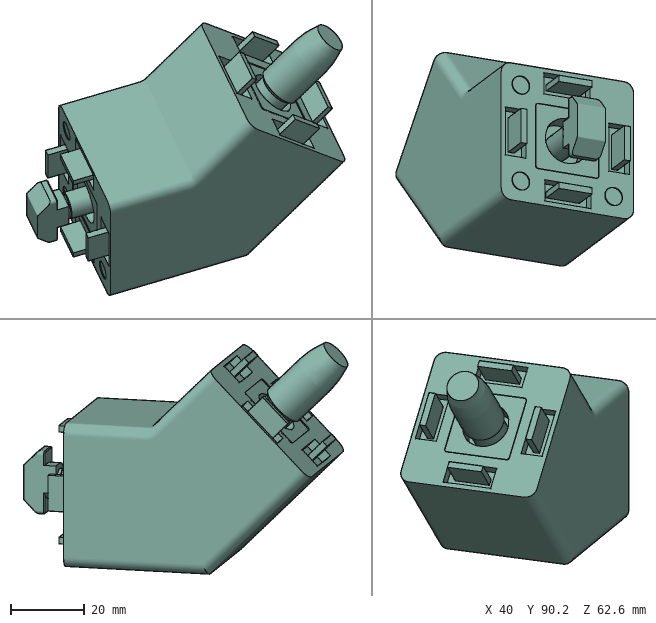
import cadquery as cq
import math

leg_width = 40.0
axis_height = leg_width / 2
bend_angle = 45.0
half_bend = math.radians(bend_angle / 2)
inner_leg_length = 24.0
axis_leg_length = inner_leg_length + leg_width / 2 * math.tan(half_bend)
housing_corner_radius = 3.0
inner_bend_radius = 2.0
mitre_normal = (0, math.cos(half_bend), math.sin(half_bend))
mitre_point = (0, axis_leg_length, axis_height)

core_width = 19.0
core_corner_radius = 0.8
core_inset = 0.3

tab_length = 10.0
tab_thickness = 1.8
tab_height = 5.2
tab_distance = 15.6
pocket_length = 14.0
pocket_width = 6.2
pocket_depth = 3.0
pocket_shift = 0.15

mark_diameter = 5.2
mark_offset = 14.0
mark_depth = 0.3
mark_corners = [(-1, 1), (-1, -1), (1, -1)]

bore_diameter = 13.0
bore_depth = 6.5

shaft_radius = 3.75
shaft_chamfer = 0.25
neck_start = 5.3
block_start = 6.2
head_start = 9.4
head_end = 15.33
neck_radius = shaft_radius - shaft_chamfer
head_width = 8.5
block_round_radius = 5.0
block_height = 2 * block_round_radius
head_height = 17.5
head_corner_radius = 1.0
head_back_chamfer = 0.3
head_nose_fillet = 0.4
head_front_height = 9.6
head_front_chamfer = (head_height - head_front_height) / 2

pin_radius = 6.0
pin_neck_radius = 5.0
pin_shoulder = 2.5
pin_end = 23.41
pin_tip_radius = 4.5
pin_taper = math.radians(15)
pin_blend_radius = 20.0
pin_taper_radius = pin_radius - pin_blend_radius * (1 - math.cos(pin_taper))
pin_taper_start = pin_end - (pin_taper_radius - pin_tip_radius) / math.tan(pin_taper)
pin_blend_start = pin_taper_start - pin_blend_radius * math.sin(pin_taper)


def mirrored(body):
    """Copy of a front leg feature, reflected in the mitre plane onto the rear leg."""
    return body.mirror(mitre_normal, mitre_point)


def front_plane(distance):
    """Plane parallel to the front face, a distance out of it, with +X right and +Z up."""
    return cq.Workplane("XZ", origin=(0, -distance, axis_height))


def bent_bar(width, inset):
    """Sharp-edged square bar following the bent axis, its ends set back from the end faces."""
    half = width / 2
    mitre_run = half * math.tan(half_bend)
    leg = (
        cq.Workplane("YZ", origin=(-half, 0, axis_height))
        .polyline([
            (inset, half),
            (axis_leg_length - mitre_run, half),
            (axis_leg_length + mitre_run, -half),
            (inset, -half),
        ])
        .close()
        .extrude(width)
    )
    return leg.union(mirrored(leg), clean=True)


def round_long_edges(bar, radius):
    """Round the edges that run along the bar, leaving its end faces sharp."""
    return bar.edges("not (|X or |Z or |(0,-1,1))").fillet(radius)


def core_bar(inset):
    return round_long_edges(bent_bar(core_width, inset), core_corner_radius)


def around_axis(shape):
    """Four copies of a front face feature, a quarter turn apart."""
    copies = cq.Workplane()
    for quarter in range(4):
        copies = copies.add(shape.rotate((0, 0, axis_height), (0, 1, axis_height), 90 * quarter))
    return copies


def pockets():
    pocket = (
        front_plane(0)
        .center(-pocket_shift, tab_distance)
        .rect(pocket_length, pocket_width)
        .extrude(-pocket_depth)
    )
    return around_axis(pocket)


def tabs():
    tab = (
        front_plane(-pocket_depth)
        .center(0, tab_distance)
        .rect(tab_length, tab_thickness)
        .extrude(pocket_depth + tab_height)
    )
    return around_axis(tab)


def marks():
    return (
        front_plane(0)
        .pushPoints([(x * mark_offset, z * mark_offset) for x, z in mark_corners])
        .circle(mark_diameter / 2)
        .extrude(-mark_depth)
    )


def make_housing():
    body = bent_bar(leg_width, 0)
    inner_crease = cq.selectors.NearestToPointSelector((0, inner_leg_length, leg_width))
    body = body.edges("|X").edges(inner_crease).fillet(inner_bend_radius)
    body = round_long_edges(body, housing_corner_radius)
    body = body.cut(core_bar(0)).cut(marks())
    for pocket in pockets().vals():
        pocket = cq.Workplane(pocket)
        body = body.cut(pocket).cut(mirrored(pocket))
    for tab in tabs().vals():
        tab = cq.Workplane(tab)
        body = body.union(tab).union(mirrored(tab))
    return body


def bore():
    return front_plane(0).circle(bore_diameter / 2).extrude(-bore_depth)


def shaft():
    """Round shaft from the bore floor to the block, chamfered down to its neck."""
    body = front_plane(-bore_depth).circle(shaft_radius).extrude(bore_depth + neck_start)
    body = body.faces("<Y").chamfer(shaft_chamfer)
    neck = front_plane(0).circle(neck_radius).extrude(block_start)
    return body.union(neck)


def block():
    """Square block with two opposite corners rounded, so the head can only turn one way."""
    length = head_start - block_start + head_back_chamfer
    start = front_plane(block_start)
    body = start.circle(block_round_radius).extrude(length)
    for side in (-1, 1):
        corner = (
            start.center(side * block_round_radius / 2, side * block_round_radius / 2)
            .rect(block_round_radius, block_round_radius)
            .extrude(length)
        )
        body = body.union(corner)
    return body.intersect(start.rect(head_width, block_height).extrude(length))


def head():
    """Cross bar with rounded corners and sloping front."""
    return (
        front_plane(head_start)
        .rect(head_width, head_height)
        .extrude(head_end - head_start)
        .edges("|Y")
        .fillet(head_corner_radius)
        .faces(">Y")
        .chamfer(head_back_chamfer)
        .intersect(
            cq.Workplane("YZ", origin=(-head_width / 2, 0, axis_height))
            .polyline([
                (-head_start, head_height / 2),
                (-head_end + head_front_chamfer, head_height / 2),
                (-head_end, head_front_height / 2),
                (-head_end, -head_front_height / 2),
                (-head_end + head_front_chamfer, -head_height / 2),
                (-head_start, -head_height / 2),
            ])
            .close()
            .extrude(head_width)
            .faces("<Y")
            .edges("|X")
            .fillet(head_nose_fillet)
        )
    )


def locating_pin():
    """Pin turned about the front axis, pointing forwards; mirrored onto the rear end later."""
    blend_middle_angle = pin_taper / 2
    blend_middle = (
        pin_radius - pin_blend_radius * (1 - math.cos(blend_middle_angle)),
        pin_blend_start + pin_blend_radius * math.sin(blend_middle_angle),
    )
    shoulder_chamfer = pin_radius - pin_neck_radius
    return (
        cq.Workplane("XY", origin=(0, 0, axis_height))
        .moveTo(0, bore_depth)
        .lineTo(pin_neck_radius, bore_depth)
        .lineTo(pin_neck_radius, shoulder_chamfer - pin_shoulder)
        .lineTo(pin_radius, -pin_shoulder)
        .lineTo(pin_radius, -pin_blend_start)
        .threePointArc(
            (blend_middle[0], -blend_middle[1]), (pin_taper_radius, -pin_taper_start)
        )
        .lineTo(pin_tip_radius, -pin_end)
        .lineTo(0, -pin_end)
        .close()
        .revolve(360, (0, 0, 0), (0, 1, 0))
    )


def make_core():
    body = core_bar(core_inset).cut(bore()).cut(mirrored(bore()))
    body = body.union(shaft()).union(block()).union(head())
    return body.union(mirrored(locating_pin()))


housing = make_housing()
core = make_core()

result = cq.Compound.makeCompound([housing.val(), core.val()])